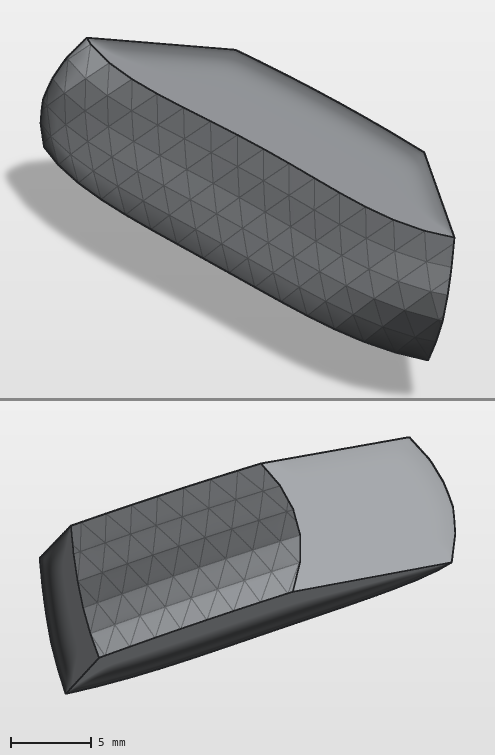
import cadquery as cq
import math

TIP_ANGLE = 21.2
YAW_ANGLE = 0.6
SIDE_SHIFT = 0.12

TOP_HEIGHT = 4.40
BOTTOM_HEIGHT = -4.04
BOTTOM_ROLL = math.radians(-0.6)

HALF_WIDTH = 11.98
SIDE_ANGLE = math.radians(45.2)

FRONT_TOP = 3.64
FRONT_MIDDLE = 5.05
FRONT_BOTTOM = 5.05
RISE_TOP = 0.0095
RISE_BOTTOM = 0.0018
FALL_TOP = 8.4e-5
FALL_MIDDLE = 5.4e-5
FALL_BOTTOM = 5.5e-5

BACK_TOP = 5.02
BACK_MIDDLE = 4.07
BACK_BOTTOM = 4.87
BACK_CROWN = 0.0062

FACET_ROWS = 5
FACET_PITCH = 2.0
FACET_OFFSET = -1.05
FACET_LEAN = 0.1
ROW_LIFT = 0.06
GRID_REACH = 16.4
WALL_REACH = 10.0


def blend(bottom, top, level):
    return bottom + (top - bottom) * level


def curve_through(bottom, middle, top, level):
    """Parabola through three values at level 0, 1/2 and 1."""
    bulge = middle - (bottom + top) / 2
    return blend(bottom, top, level) + 4 * bulge * level * (1 - level)


def front_y(x, level):
    centre = curve_through(FRONT_BOTTOM, FRONT_MIDDLE, FRONT_TOP, level)
    rise = blend(RISE_BOTTOM, RISE_TOP, level)
    fall = curve_through(FALL_BOTTOM, FALL_MIDDLE, FALL_TOP, level)
    return -(centre + rise * x**2 - fall * x**4)


def back_y(x, level):
    centre = curve_through(BACK_BOTTOM, BACK_MIDDLE, BACK_TOP, level)
    return centre - BACK_CROWN * x**2


def row_positions(row):
    """X positions of the facet corners in a row; every other row is staggered by half a pitch."""
    start = FACET_OFFSET + FACET_LEAN * row + FACET_PITCH / 2 * (row % 2)
    first = math.ceil((-GRID_REACH - start) / FACET_PITCH)
    last = math.floor((GRID_REACH - start) / FACET_PITCH)
    inner = [start + FACET_PITCH * i for i in range(first, last + 1)]
    return [-GRID_REACH] + inner + [GRID_REACH]


def corner_rows(surface_y):
    rows = []
    for row in range(FACET_ROWS + 1):
        share = row / FACET_ROWS
        level = share + ROW_LIFT * share * (1 - share)
        points = []
        for x in row_positions(row):
            z = blend(BOTTOM_HEIGHT + x * math.tan(BOTTOM_ROLL), TOP_HEIGHT, level)
            points.append(cq.Vector(x, surface_y(x, level), z))
        rows.append(points)
    return rows


def polygon_face(points):
    return cq.Face.makeFromWires(cq.Wire.makePolygon(points, close=True))


def strip_facets(lower, upper):
    """Triangles filling the band between two neighbouring rows of corners."""
    facets = []
    i = 0
    j = 0
    while i < len(lower) - 1 or j < len(upper) - 1:
        upper_done = j == len(upper) - 1
        step_lower = upper_done or (i < len(lower) - 1 and lower[i + 1].x < upper[j + 1].x)
        if step_lower:
            facets.append(polygon_face([lower[i], lower[i + 1], upper[j]]))
            i += 1
        else:
            facets.append(polygon_face([lower[i], upper[j + 1], upper[j]]))
            j += 1
    return facets


def faceted_slab():
    front = corner_rows(front_y)
    back = corner_rows(back_y)
    faces = []
    for rows in (front, back):
        for lower, upper in zip(rows, rows[1:]):
            faces += strip_facets(lower, upper)
    for row in (0, FACET_ROWS):
        faces.append(polygon_face(front[row] + back[row][::-1]))
    for end in (0, -1):
        front_edge = [row[end] for row in front]
        back_edge = [row[end] for row in back]
        faces.append(polygon_face(front_edge + back_edge[::-1]))
    return cq.Workplane(cq.Solid.makeSolid(cq.Shell.makeShell(faces)).fix())


def side_wall_block():
    splay = WALL_REACH * math.tan(SIDE_ANGLE)
    outline = [
        (-HALF_WIDTH - splay, -WALL_REACH),
        (HALF_WIDTH + splay, -WALL_REACH),
        (HALF_WIDTH - splay, WALL_REACH),
        (-HALF_WIDTH + splay, WALL_REACH),
    ]
    return cq.Workplane("XY").polyline(outline).close().extrude(WALL_REACH, both=True)


slab = faceted_slab().intersect(side_wall_block())
yawed = slab.rotate((0, 0, 0), (0, 0, 1), YAW_ANGLE)
tipped = yawed.rotate((0, 0, 0), (1, 0, 0), -TIP_ANGLE)
result = tipped.translate((SIDE_SHIFT, 0, 0))